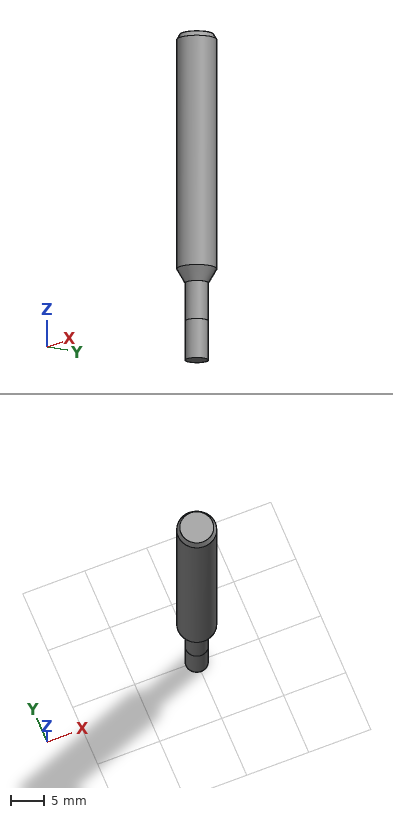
import cadquery as cq
import math

overall_length = 50.0
shank_diameter = 6.0
neck_diameter = 3.5
tip_diameter = neck_diameter

tip_length = 6.0
taper_top = 14.0

cone_angle = 30.0
cone_slope = math.tan(math.radians(cone_angle))

taper_height = (shank_diameter - neck_diameter) / 2 / cone_slope
neck_top = taper_top - taper_height

bevel_height = 0.8
bevel_width = bevel_height * cone_slope


def make_tip():
    """Plain round tip at the lower end."""
    return cq.Workplane("XY").circle(tip_diameter / 2).extrude(tip_length)


def make_shank():
    """Turned body: neck, taper, full-diameter shank and bevelled top end."""
    neck_radius = neck_diameter / 2
    shank_radius = shank_diameter / 2
    return (
        cq.Workplane("XZ")
        .moveTo(0, tip_length)
        .lineTo(neck_radius, tip_length)
        .lineTo(neck_radius, neck_top)
        .lineTo(shank_radius, taper_top)
        .lineTo(shank_radius, overall_length - bevel_height)
        .lineTo(shank_radius - bevel_width, overall_length)
        .lineTo(0, overall_length)
        .close()
        .revolve(360, (0, 0, 0), (0, 1, 0))
    )


tip = make_tip()
shank = make_shank()

result = cq.Compound.makeCompound([tip.val(), shank.val()])